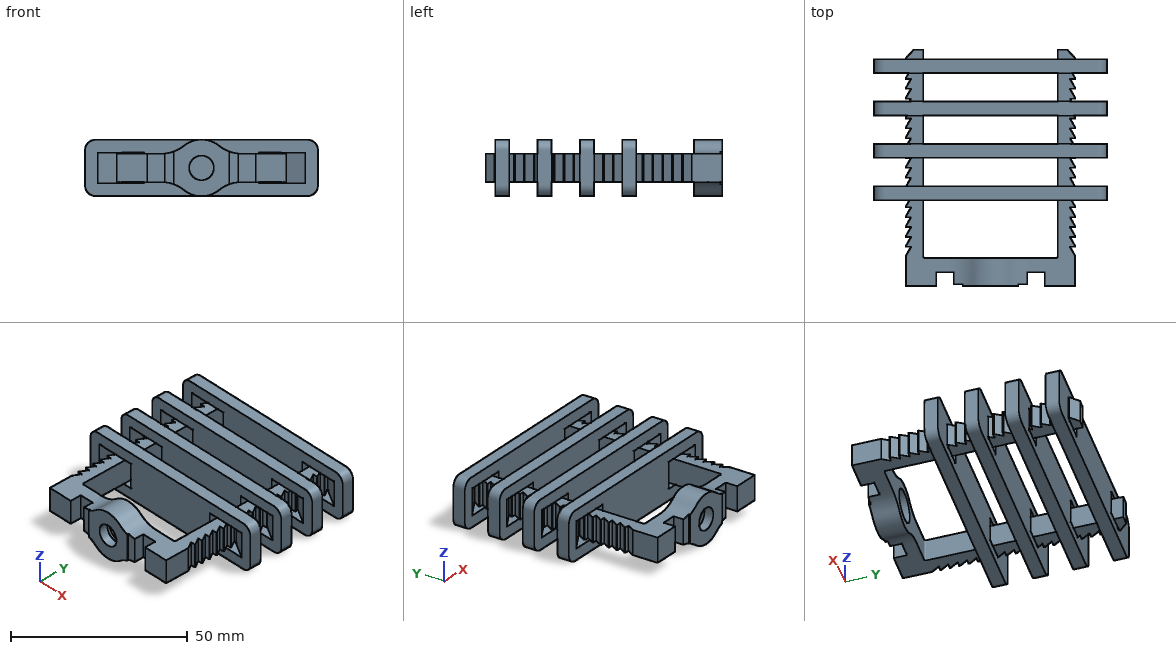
import cadquery as cq
import math


frame_length = 67.0
arm_outer_x = 24.0
arm_inner_x = 19.0
arm_height = 8.05
base_thickness = 8.05
inner_corner_radius = 0.5
tip_chamfer_x = 2.3
tip_chamfer_y = 2.4

tooth_depth = 1.5
tooth_flat = 0.35
first_hook_y = 11.1
last_hook_y = 64.25
tooth_count = 20
tooth_pitch = (last_hook_y - first_hook_y) / (tooth_count - 1)

slot_inner_x = 10.45
slot_outer_x = 15.35
slot_depth = 3.95
boss_half_width = 7.9
boss_step = 0.55

plate_height = 16.0
hub_radius = plate_height / 2
hub_blend_radius = 10.0
screw_radius = 3.5
screw_bore_depth = 3.0
head_radius = 5.0
head_cone_length = 1.95

plate_width = 66.0
plate_thickness = 4.0
plate_corner_radius = 3.0
plate_count = 4
first_plate_y = 24.3
plate_pitch = 12.0

window_height = 8.6
window_inner_x = 16.3
window_front_x = 29.4
window_back_x = arm_outer_x - tooth_depth


def box_between(x_range, y_range, height):
    """Box over the given X and Y ranges, centred on Z = 0."""
    (x0, x1), (y0, y1) = x_range, y_range
    return cq.Workplane("XY").box(x1 - x0, y1 - y0, height).translate(((x0 + x1) / 2, (y0 + y1) / 2, 0))


def make_half_frame():
    """Right half of the U: half the base and one arm with its teeth."""
    root_x = arm_outer_x - tooth_depth
    outline = [(0, 0), (arm_outer_x, 0)]
    for tooth in range(tooth_count):
        hook_y = first_hook_y + tooth * tooth_pitch
        outline += [
            (arm_outer_x, hook_y - tooth_pitch + tooth_flat),
            (root_x, hook_y),
            (arm_outer_x, hook_y),
        ]
    outline += [
        (arm_outer_x, frame_length - tip_chamfer_y),
        (arm_outer_x - tip_chamfer_x, frame_length),
        (arm_inner_x, frame_length),
        (arm_inner_x, base_thickness),
        (0, base_thickness),
    ]
    half = cq.Workplane("XY").polyline(outline).close().extrude(arm_height / 2, both=True)
    inner_corner = cq.selectors.NearestToPointSelector((arm_inner_x, base_thickness, 0))
    return half.edges(inner_corner).fillet(inner_corner_radius)


def make_hub():
    """Round hub whose top and bottom blend into the base through tangent arcs."""
    blend_z = arm_height / 2 + hub_blend_radius
    blend_x = math.sqrt((hub_radius + hub_blend_radius) ** 2 - blend_z**2)
    tangent_ratio = hub_radius / (hub_radius + hub_blend_radius)
    tangent_x = blend_x * tangent_ratio
    tangent_z = blend_z * tangent_ratio
    mid_angle = (math.atan2(-blend_z, -blend_x) - math.pi / 2) / 2
    mid_x = blend_x + hub_blend_radius * math.cos(mid_angle)
    mid_z = blend_z + hub_blend_radius * math.sin(mid_angle)
    end_z = arm_height / 2
    return (
        cq.Workplane("XZ")
        .moveTo(-blend_x, end_z)
        .threePointArc((-mid_x, mid_z), (-tangent_x, tangent_z))
        .threePointArc((0, hub_radius), (tangent_x, tangent_z))
        .threePointArc((mid_x, mid_z), (blend_x, end_z))
        .lineTo(blend_x, -end_z)
        .threePointArc((mid_x, -mid_z), (tangent_x, -tangent_z))
        .threePointArc((0, -hub_radius), (-tangent_x, -tangent_z))
        .threePointArc((-mid_x, -mid_z), (-blend_x, -end_z))
        .close()
        .extrude(-base_thickness)
    )


def make_screw_hole():
    """Cutter along Y: screw bore, widening cone, then the screw head recess."""
    cone_end_y = screw_bore_depth + head_cone_length
    return (
        cq.Workplane("XY")
        .polyline([
            (0, 0),
            (screw_radius, 0),
            (screw_radius, screw_bore_depth),
            (head_radius, cone_end_y),
            (head_radius, base_thickness),
            (0, base_thickness),
        ])
        .close()
        .revolve(360, (0, 0), (0, 1))
    )


def make_frame():
    right_half = make_half_frame()
    body = right_half.union(right_half.mirror("YZ")).union(make_hub())
    slot = box_between((slot_inner_x, slot_outer_x), (0, slot_depth), plate_height)
    step = box_between((boss_half_width, slot_inner_x), (0, boss_step), plate_height)
    for cutter in (slot, step):
        body = body.cut(cutter).cut(cutter.mirror("YZ"))
    return body.cut(make_screw_hole())


def make_window(front_y):
    """Cutter for the right window, narrowing from the front of a plate to its back."""
    back_y = front_y + plate_thickness
    return (
        cq.Workplane("XY")
        .polyline([
            (window_inner_x, front_y),
            (window_front_x, front_y),
            (window_back_x, back_y),
            (window_inner_x, back_y),
        ])
        .close()
        .extrude(window_height / 2, both=True)
    )


def make_plate(front_y, frame):
    """Cross plate whose window walls are notched to fit the frame teeth."""
    plate = (
        box_between((-plate_width / 2, plate_width / 2), (front_y, front_y + plate_thickness), plate_height)
        .edges("|Y")
        .fillet(plate_corner_radius)
    )
    window = make_window(front_y)
    return plate.cut(window).cut(window.mirror("YZ")).cut(frame)


frame = make_frame()
plates = [make_plate(first_plate_y + index * plate_pitch, frame) for index in range(plate_count)]

result = cq.Compound.makeCompound([frame.solids().val(), *[plate.solids().val() for plate in plates]])